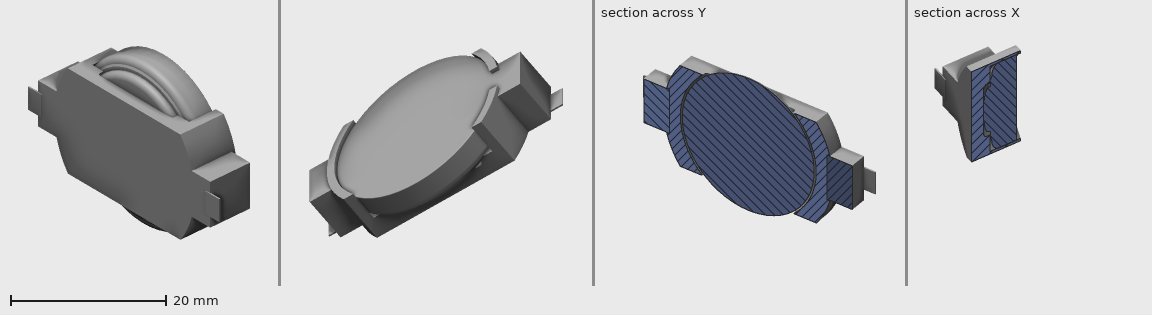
import cadquery as cq
import math


holder_radius = 13.45
holder_height = 16.0
holder_depth = 7.52
notch_width = 4.07

cell_radius = 12.25
cell_back_y = 6.95
back_edge_fillet = 0.1
can_fillet = 1.0
can_fillet_start_y = 4.07
can_fillet_end_y = can_fillet_start_y - can_fillet
rim_radius = 10.97
rim_y = 2.9
cap_radius = 10.5
cap_front_y = 1.87
cap_fillet = 0.88

cap_clearance = 0.22
cap_pocket_radius = cap_radius + cap_clearance
cap_pocket_fillet = 0.35

overall_length = 36.7
block_inner_x = 12.48
block_outer_x = 16.5
block_height = 6.97
block_depth = cell_back_y
terminal_length = 2.6
terminal_height = 3.5
terminal_thickness = 0.22


def box_between(x_range, y_range, height):
    """Box spanning the given X and Y ranges, centred on z = 0."""
    length = x_range[1] - x_range[0]
    depth = y_range[1] - y_range[0]
    centre = (sum(x_range) / 2, sum(y_range) / 2, 0)
    return cq.Workplane("XY").box(length, depth, height).translate(centre)


def disc_along_y(radius, start_y, end_y):
    """Cylinder on the Y axis from start_y to end_y."""
    return cq.Workplane("XZ", origin=(0, end_y, 0)).circle(radius).extrude(end_y - start_y)


def make_contact(side):
    """Block with a solder terminal on its front; side is -1 or 1 along X."""
    block_x = sorted((side * block_inner_x, side * block_outer_x))
    terminal_tip_x = overall_length / 2
    terminal_x = sorted((side * (terminal_tip_x - terminal_length), side * terminal_tip_x))
    terminal_y = (-terminal_thickness / 2, terminal_thickness / 2)
    block = box_between(block_x, (0, block_depth), block_height)
    return block.union(box_between(terminal_x, terminal_y, terminal_height))


def make_cell():
    """Can with a rounded front edge, a bevelled rim and a raised rounded cap."""
    arc_offset = math.sqrt(0.5)
    can_arc_radius = cell_radius - can_fillet
    cap_face_radius = cap_radius - cap_fillet
    cap_fillet_start_y = cap_front_y + cap_fillet
    back_arc_radius = cell_radius - back_edge_fillet
    back_arc_y = cell_back_y - back_edge_fillet
    return (
        cq.Workplane("XY")
        .moveTo(0, cap_front_y)
        .lineTo(cap_face_radius, cap_front_y)
        .threePointArc(
            (cap_face_radius + cap_fillet * arc_offset, cap_fillet_start_y - cap_fillet * arc_offset),
            (cap_radius, cap_fillet_start_y),
        )
        .lineTo(cap_radius, rim_y)
        .lineTo(rim_radius, rim_y)
        .lineTo(can_arc_radius, can_fillet_end_y)
        .threePointArc(
            (can_arc_radius + can_fillet * arc_offset, can_fillet_start_y - can_fillet * arc_offset),
            (cell_radius, can_fillet_start_y),
        )
        .lineTo(cell_radius, back_arc_y)
        .threePointArc(
            (back_arc_radius + back_edge_fillet * arc_offset, back_arc_y + back_edge_fillet * arc_offset),
            (back_arc_radius, cell_back_y),
        )
        .lineTo(0, cell_back_y)
        .close()
        .revolve(360, (0, 0, 0), (0, 1, 0))
    )


def make_cavity():
    """Stepped recess: a wide bore for the can and a shallower one for the cap."""
    can_bore = disc_along_y(cell_radius, rim_y, holder_depth)
    cap_pocket = disc_along_y(cap_pocket_radius, cap_front_y, holder_depth)
    cap_pocket = cap_pocket.edges("<Y").fillet(cap_pocket_fillet)
    return can_bore.union(cap_pocket)


def make_holder(contacts):
    """Round block with two flats, a cavity for the cell and sockets for the contacts."""
    holder = disc_along_y(holder_radius, 0, holder_depth).intersect(
        box_between((-holder_radius, holder_radius), (0, holder_depth), holder_height)
    )
    holder = holder.cut(make_cavity())

    holder = holder.cut(box_between((-holder_radius, 0), (block_depth, holder_depth), notch_width))

    for contact in contacts:
        holder = holder.cut(contact)
    return holder


contacts = [make_contact(side) for side in (-1, 1)]
cell = make_cell()
holder = make_holder(contacts)

result = cq.Compound.makeCompound(
    [holder.solids().val(), cell.solids().val(), *[contact.solids().val() for contact in contacts]]
)